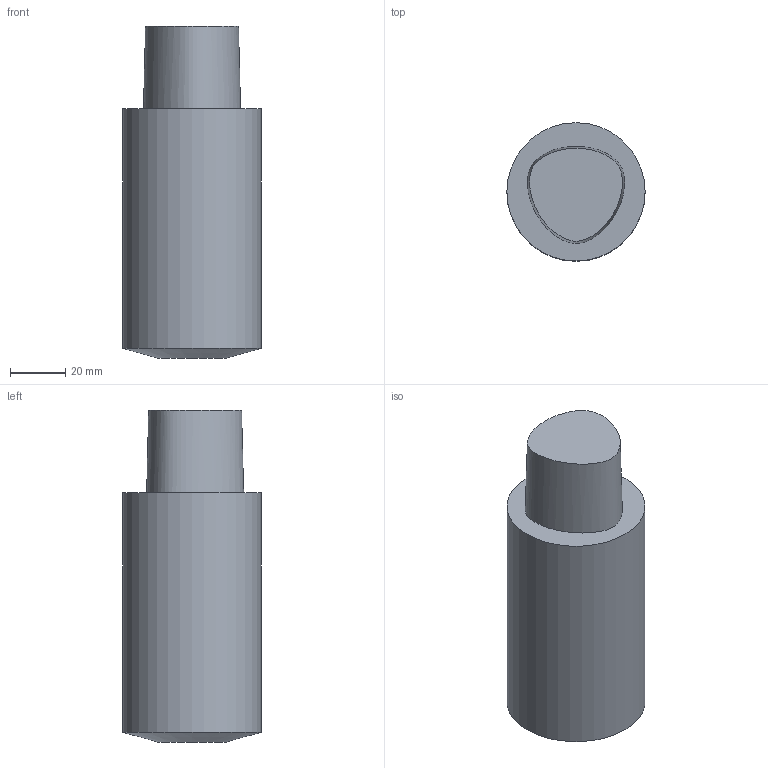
import cadquery as cq
import math

body_diameter = 49.98
total_length = 120.0

shank_length = 29.95
shank_base_width = 35.1
shank_taper = 1 / 20
lobe_eccentricity = 1.12
lobe_count = 3
points_per_turn = 72

end_cone_height = 3.5
end_face_diameter = 24.8

body_length = total_length - shank_length
shank_tip_width = shank_base_width - shank_taper * shank_length
end_cone_width = (body_diameter - end_face_diameter) / 2


def lobed_point(turn, width):
    """Point on a constant-width lobed curve, with one lobe pointing along -Y."""
    angle = 2 * math.pi * turn
    lobe_phase = lobe_count * (angle + math.pi / 2)
    reach = width / 2 + lobe_eccentricity * math.cos(lobe_phase)
    slide = -lobe_count * lobe_eccentricity * math.sin(lobe_phase)
    x = reach * math.cos(angle) - slide * math.sin(angle)
    y = reach * math.sin(angle) + slide * math.cos(angle)
    return x, y


def lobed_outline(width):
    """Points evenly spread by tangent direction around one lobed curve."""
    return [lobed_point(index / points_per_turn, width) for index in range(points_per_turn)]


def make_body():
    """Cylinder below the shoulder, with its lower edge cut back to a shallow cone."""
    return (
        cq.Workplane("XY")
        .circle(body_diameter / 2)
        .extrude(-body_length)
        .faces("<Z")
        .edges()
        .chamfer(end_cone_height, end_cone_width)
    )


def make_shank():
    """Tapered lobed shank between its base and tip outlines."""
    return (
        cq.Workplane("XY")
        .spline(lobed_outline(shank_base_width), periodic=True)
        .close()
        .workplane(offset=shank_length)
        .spline(lobed_outline(shank_tip_width), periodic=True)
        .close()
        .loft(ruled=True)
    )


result = make_body().union(make_shank())